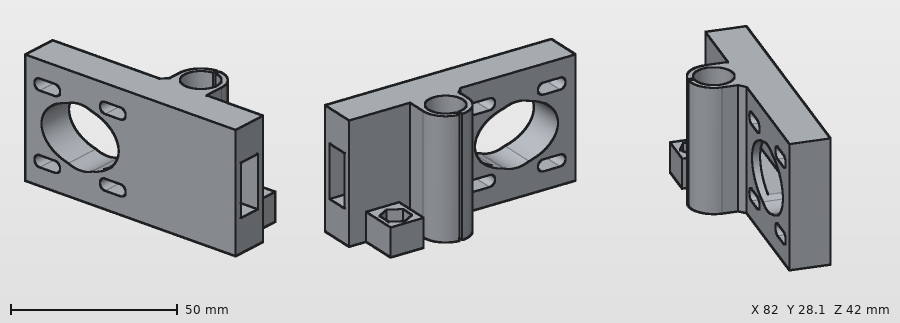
import cadquery as cq

plate_length = 82.0
plate_depth = 12.95
plate_height = 42.0
mid_height = plate_height / 2

motor_x = 21.4
boss_hole_radius = 11.0
opening_half_width = 15.0
opening_half_height = 10.5
screw_spacing = 25.5
screw_slot_length = 10.0
screw_slot_width = 4.0

channel_depth = 7.9
channel_height = 18.4

rod_x = 51.8
rod_y = 20.0
clamp_radius = 8.1
rod_bore_diameter = 12.5
clamp_slit_width = 1.0
clamp_chamfer = 2.05

nut_block_x = 69.9
nut_block_width = 12.0
nut_block_reach = 13.1
nut_block_height = 10.0
lead_screw_diameter = 5.6
nut_across_corners = 9.75
nut_pocket_depth = 4.0


def box(x_min, y_min, z_min, length, depth, height):
    return cq.Workplane("XY").box(length, depth, height, centered=False).translate((x_min, y_min, z_min))


def motor_face():
    """Sketch plane on the front of the plate, centred on the motor axis."""
    return cq.Workplane("XZ", origin=(motor_x, 0, mid_height))


def motor_cuts():
    round_hole = motor_face().circle(boss_hole_radius).extrude(-plate_depth)
    wide_hole = motor_face().ellipse(opening_half_width, opening_half_height).extrude(-plate_depth)
    slots = (
        motor_face()
        .rarray(screw_spacing, screw_spacing, 2, 2)
        .slot2D(screw_slot_length, screw_slot_width)
        .extrude(-plate_depth)
    )
    return round_hole.union(wide_hole).union(slots)


def belt_channel():
    return box(
        motor_x,
        (plate_depth - channel_depth) / 2,
        mid_height - channel_height / 2,
        plate_length - motor_x,
        channel_depth,
        channel_height,
    )


def rod_clamp():
    left = rod_x - clamp_radius
    right = rod_x + clamp_radius
    body = (
        cq.Workplane("XY")
        .moveTo(right, plate_depth)
        .lineTo(right, rod_y)
        .threePointArc((rod_x, rod_y + clamp_radius), (left, rod_y))
        .lineTo(left, plate_depth + clamp_chamfer)
        .lineTo(left - clamp_chamfer, plate_depth)
        .close()
        .extrude(plate_height)
    )
    slit = box(rod_x - clamp_slit_width / 2, rod_y, 0, clamp_slit_width, clamp_radius, plate_height)
    return body.cut(slit)


def rod_bore():
    return cq.Workplane("XY", origin=(rod_x, rod_y, 0)).circle(rod_bore_diameter / 2).extrude(plate_height)


def nut_block():
    """Low block with a screw hole and a hexagonal nut pocket in its top, corners along Y."""
    block = box(
        nut_block_x - nut_block_width / 2, plate_depth, 0, nut_block_width, nut_block_reach, nut_block_height
    )
    axis = cq.Workplane("XY", origin=(nut_block_x, rod_y, 0))
    screw_hole = axis.circle(lead_screw_diameter / 2).extrude(nut_block_height)
    nut_pocket = (
        axis.workplane(offset=nut_block_height - nut_pocket_depth)
        .transformed(rotate=(0, 0, 90))
        .polygon(6, nut_across_corners)
        .extrude(nut_pocket_depth)
    )
    return block.cut(screw_hole).cut(nut_pocket)


plate = box(0, 0, 0, plate_length, plate_depth, plate_height).cut(motor_cuts()).cut(belt_channel())
result = plate.union(rod_clamp()).cut(rod_bore()).union(nut_block())